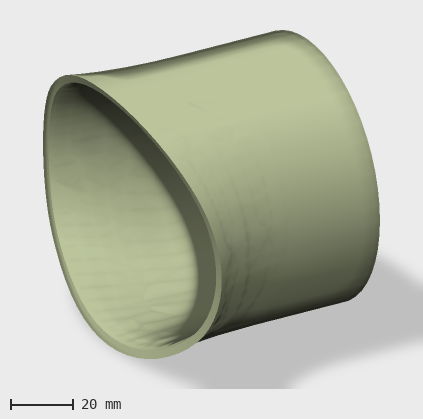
import cadquery as cq
import math

sleeve_diameter = 88.9
bore_diameter = 83.7
total_length = 74.5
sleeve_length = 33.9
flare_length = total_length - sleeve_length

main_pipe_radius = 109.5

outer_half_width = 56.8
inner_half_width = 53.2
outer_broad_arc_radius = 66.4
inner_broad_arc_radius = 63.0

points_per_ring = 64
flare_steps = 6

joint_tolerance = 0.001


def saddle_depth(z):
    """Distance from the sleeve end to the main pipe surface at height z."""
    height_at_top = math.sqrt(main_pipe_radius**2 - (sleeve_diameter / 2) ** 2)
    height_at_z = math.sqrt(main_pipe_radius**2 - z**2)
    return flare_length - (height_at_z - height_at_top)


def ray_to_arc(angle, center_x, center_z, radius):
    """Distance from the origin to a surrounding circle, along a ray at the given angle."""
    along = center_x * math.cos(angle) + center_z * math.sin(angle)
    across = center_x * math.sin(angle) - center_z * math.cos(angle)
    return along + math.sqrt(radius**2 - across**2)


def oval_radius(angle, half_width, half_height, broad_radius):
    """Distance from the origin to the oval, along a ray at the given angle."""
    angle = math.atan2(abs(math.sin(angle)), abs(math.cos(angle)))
    broad_drop = broad_radius - half_height
    side_radius = (broad_radius**2 - broad_drop**2 - half_width**2) / (2 * (broad_radius - half_width))
    side_center = half_width - side_radius
    tangent_x = broad_radius * side_center / (broad_radius - side_radius)
    tangent_z = broad_radius * broad_drop / (broad_radius - side_radius) - broad_drop
    if angle < math.atan2(tangent_z, tangent_x):
        return ray_to_arc(angle, side_center, 0, side_radius)
    return ray_to_arc(angle, 0, -broad_drop, broad_radius)


def flare_ring(fraction, start_radius, half_width, broad_radius):
    """Closed curve around the flare, a fraction of the way from the sleeve to the mouth.

    Along each direction the flare is an arc tangent to the sleeve that ends on the mouth oval.
    """
    points = []
    for i in range(points_per_ring):
        angle = 2 * math.pi * i / points_per_ring
        mouth_radius = oval_radius(angle, half_width, start_radius, broad_radius)
        mouth_depth = saddle_depth(mouth_radius * math.sin(angle))
        spread = mouth_radius - start_radius
        depth = fraction * mouth_depth
        curvature = 2 * spread / (spread**2 + mouth_depth**2)
        offset = curvature * depth**2 / (1 + math.sqrt(1 - (curvature * depth) ** 2))
        radius = start_radius + offset
        points.append(cq.Vector(radius * math.cos(angle), -depth, radius * math.sin(angle)))
    return cq.Wire.assembleEdges([cq.Edge.makeSpline(points, periodic=True)])


def flare_rings(diameter, half_width, broad_radius):
    """Curves around one flare wall, from the sleeve end to the mouth."""
    return [
        flare_ring(i / flare_steps, diameter / 2, half_width, broad_radius)
        for i in range(flare_steps + 1)
    ]


def make_flare():
    """Flare walls joined by a flat ring at the sleeve and a saddle-shaped ring at the mouth."""
    outer_rings = flare_rings(sleeve_diameter, outer_half_width, outer_broad_arc_radius)
    inner_rings = flare_rings(bore_diameter, inner_half_width, inner_broad_arc_radius)
    outer_wall = cq.occ_impl.shapes.loft(outer_rings)
    inner_wall = cq.occ_impl.shapes.loft(inner_rings)
    sleeve_end = cq.Face.makeFromWires(outer_rings[0], [inner_rings[0]])
    mouth = cq.Face.makeRuledSurface(outer_rings[-1].Edges()[0], inner_rings[-1].Edges()[0])
    faces = outer_wall.Faces() + inner_wall.Faces() + [sleeve_end, mouth]
    return cq.Solid.makeSolid(cq.Shell.makeShell(faces))


def make_sleeve():
    return (
        cq.Workplane("XZ")
        .circle(sleeve_diameter / 2)
        .circle(bore_diameter / 2)
        .extrude(-sleeve_length)
    )


branch = make_sleeve().union(cq.Workplane(obj=make_flare()), tol=joint_tolerance)
result = branch.solids()